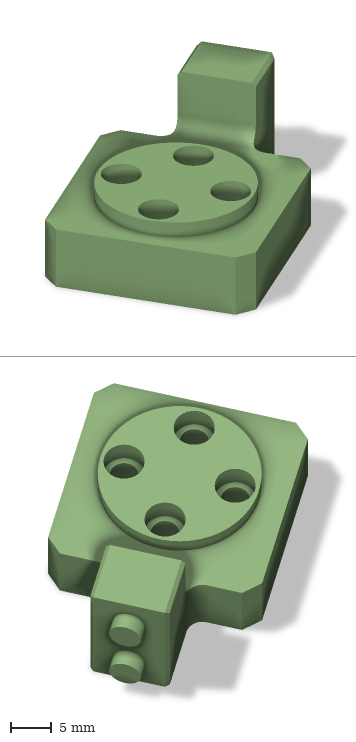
import cadquery as cq
import math

block_width = 27.0
block_depth = 26.0
block_height = 8.0
corner_chamfer = 2.0

post_width = 10.0
post_depth = 8.0
post_height = 16.0
post_chamfer = 0.5
fillet_radius = 2.0

pin_diameter = 4.0
pin_length = 2.0
pin_heights = (post_height / 4, post_height * 3 / 4)

pad_diameter = 20.0
pad_height = 2.0
pad_center_y = 12.2
hole_count = 4
bolt_circle_radius = 7.0
hole_diameter = 3.5
counterbore_diameter = 5.0
counterbore_depth = 2.9

total_depth = 38.5
post_back_y = total_depth - pin_length
post_front_y = post_back_y - post_depth
pad_top_z = block_height + pad_height
arc_offset = fillet_radius * (1 - math.sqrt(0.5))


def make_plan():
    """Block and post seen from above, as a full-height prism."""
    half_post = post_width / 2
    block = (
        cq.Workplane("XY")
        .rect(block_width, block_depth)
        .extrude(post_height)
        .translate((0, block_depth / 2, 0))
        .edges("|Z")
        .chamfer(corner_chamfer)
    )
    neck_start_y = block_depth
    neck_end_y = neck_start_y + fillet_radius
    flare_half = half_post + fillet_radius
    neck = (
        cq.Workplane("XY")
        .moveTo(-flare_half, neck_start_y)
        .lineTo(flare_half, neck_start_y)
        .threePointArc((half_post + arc_offset, neck_start_y + arc_offset), (half_post, neck_end_y))
        .lineTo(half_post, post_back_y - post_chamfer)
        .lineTo(half_post - post_chamfer, post_back_y)
        .lineTo(-half_post + post_chamfer, post_back_y)
        .lineTo(-half_post, post_back_y - post_chamfer)
        .lineTo(-half_post, neck_end_y)
        .threePointArc((-half_post - arc_offset, neck_start_y + arc_offset), (-flare_half, neck_start_y))
        .close()
        .extrude(post_height)
    )
    return block.union(neck)


def make_side_profile():
    """L-shaped side profile, filleted in the inside corner, across the full width."""
    return (
        cq.Workplane("YZ")
        .moveTo(0, 0)
        .lineTo(post_back_y, 0)
        .lineTo(post_back_y, post_height)
        .lineTo(post_front_y, post_height)
        .lineTo(post_front_y, block_height + fillet_radius)
        .threePointArc(
            (post_front_y - arc_offset, block_height + arc_offset),
            (post_front_y - fillet_radius, block_height),
        )
        .lineTo(0, block_height)
        .close()
        .extrude(block_width / 2, both=True)
    )


def make_housing():
    """Block, post and pad in one solid, with the counterbored through holes."""
    body = make_plan().intersect(make_side_profile())
    body = body.faces(">Z").edges("|Y").chamfer(post_chamfer)
    pad = (
        cq.Workplane("XY", origin=(0, pad_center_y, block_height))
        .circle(pad_diameter / 2)
        .extrude(pad_height)
    )
    return (
        body.union(pad)
        .copyWorkplane(cq.Workplane("XY", origin=(0, pad_center_y, pad_top_z)))
        .polarArray(bolt_circle_radius, 0, 360, hole_count)
        .cboreHole(hole_diameter, counterbore_diameter, counterbore_depth)
        .solids()
    )


def make_pin(height):
    """Dowel pin standing on the back face of the post, pointing along +Y."""
    return (
        cq.Workplane("XZ", origin=(0, post_back_y, height))
        .circle(pin_diameter / 2)
        .extrude(-pin_length)
    )


housing = make_housing()
pins = [make_pin(height).val() for height in pin_heights]

result = cq.Compound.makeCompound([housing.val(), *pins])